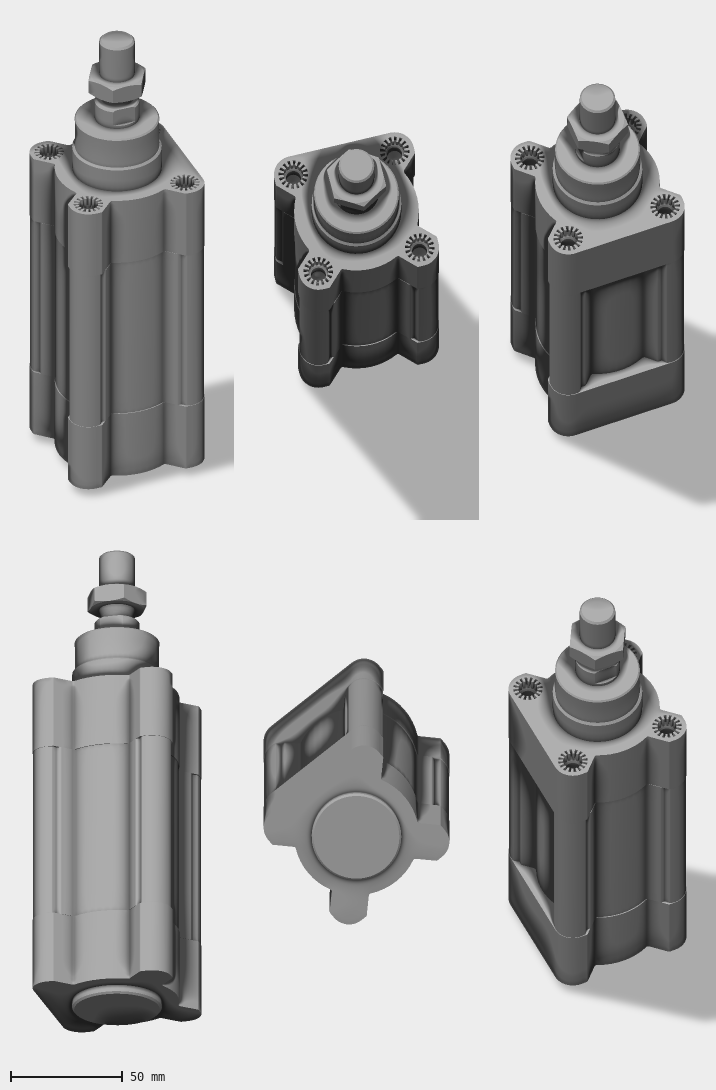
import cadquery as cq
import math


total_height = 217.8
cap_bottom = 4.0
cap_height = 32.9
barrel_length = 80.2
collar_height = 12.0
gland_height = 14.8
barrel_bottom = cap_bottom + cap_height
barrel_top = barrel_bottom + barrel_length
cap_top = barrel_top + cap_height
collar_top = cap_top + collar_height
gland_top = collar_top + gland_height

half_width = 64.0 / 2
cap_lug_radius = 8.7
lug_offset = half_width - cap_lug_radius
cap_flank_offset = 11.8
cap_body_radius = 27.9
cap_root_fillet = 1.0
barrel_lug_radius = 8.5
barrel_flank_offset = 12.0
barrel_body_radius = 27.5
barrel_root_fillet = 1.5
flank_corner_fillet = 0.9
groove_floor = 29.5
groove_foot = 19.4
groove_lip = 21.0
groove_lip_fillet = 0.7

collar_radius = 40.0 / 2
collar_chamfer = 0.9
gland_end_radius = 19.0
gland_waist_radius = 18.7
gland_chamfer = 0.7

spline_outer_radius = 13.3 / 2
spline_inner_radius = 8.7 / 2
spline_teeth = 16
spline_depth = 4.8
countersink_radius = 8.0 / 2
pilot_radius = 6.8 / 2
pilot_depth = 10.9
pilot_tip_angle = 118.0

rod_radius = 20.0 / 2
rod_bottom = cap_top
rod_shoulder = 186.0
shoulder_chamfer = 0.7
flats_across = 17.0
flats_bottom = 178.2
neck_radius = 14.0 / 2
neck_top = 188.5
neck_root_fillet = 0.7
neck_top_fillet = 2.2
thread_radius = 16.0 / 2
thread_bottom = 191.5
thread_chamfer = 0.9

nut_across_flats = 24.0
nut_bottom = 191.9
nut_height = 8.0
nut_chamfer_angle = 25.0


def plane_at(height):
    return cq.Workplane("XY").workplane(offset=height)


def disc(bottom, height, radius):
    return plane_at(bottom).circle(radius).extrude(height)


def turned(profile):
    """Solid of revolution about Z of an (r, z) profile that starts and ends on the axis."""
    return profile.close().revolve(360, (0, 0, 0), (0, 1, 0))


def mirrored(point):
    """The point reflected in the diagonal of its quadrant."""
    return (point[1], point[0])


def fillet_uprights(shape, points, height, radius):
    """Rounds the vertical edges that pass closest to the given (x, y) points."""
    for x, y in points:
        shape = shape.edges(cq.selectors.NearestToPointSelector((x, y, height))).fillet(radius)
    return shape


def cap_lug():
    root = (cap_flank_offset, 0)
    corner = (half_width, half_width - cap_flank_offset)
    middle = cap_height / 2
    lug = (
        plane_at(0)
        .polyline([(0, 0), root, corner, (half_width, half_width), mirrored(corner), mirrored(root)])
        .close()
        .extrude(cap_height)
    )
    lug = fillet_uprights(lug, [(half_width, half_width)], middle, cap_lug_radius)
    return fillet_uprights(lug, [corner, mirrored(corner)], middle, flank_corner_fillet)


def barrel_lug():
    """Round lug with a groove on each side, between the round and the 45 degree flank."""
    lip_drop = math.sqrt(barrel_lug_radius**2 - (lug_offset - groove_lip) ** 2)
    lip = (groove_lip, lug_offset + lip_drop)
    foot = (groove_foot, groove_floor)
    shoulder = (groove_floor - barrel_flank_offset, groove_floor)
    root = (0, barrel_flank_offset)
    tip = lug_offset + barrel_lug_radius / math.sqrt(2)
    middle = barrel_length / 2
    lug = (
        plane_at(0)
        .polyline([(0, 0), root, shoulder, foot, lip])
        .threePointArc((tip, tip), mirrored(lip))
        .lineTo(*mirrored(foot))
        .lineTo(*mirrored(shoulder))
        .lineTo(*mirrored(root))
        .close()
        .extrude(barrel_length)
    )
    lug = fillet_uprights(lug, [shoulder, mirrored(shoulder)], middle, flank_corner_fillet)
    return fillet_uprights(lug, [lip, mirrored(lip)], middle, groove_lip_fillet)


def lugged_body(lug, height, body_radius, flank_offset, root_fillet):
    """Round body with four lugs, filleted where the lug flanks run into it."""
    body = disc(0, height, body_radius)
    for quarter in range(4):
        body = body.union(lug.rotate((0, 0, 0), (0, 0, 1), 90 * quarter))
    near = math.sqrt(body_radius**2 / 2 - flank_offset**2 / 4) - flank_offset / 2
    far = near + flank_offset
    roots = [
        (x_sign * x, y_sign * y)
        for x, y in [(far, near), (near, far)]
        for x_sign in (-1, 1)
        for y_sign in (-1, 1)
    ]
    return fillet_uprights(body, roots, height / 2, root_fillet)


def end_cap():
    cap = lugged_body(cap_lug(), cap_height, cap_body_radius, cap_flank_offset, cap_root_fillet)
    back = plane_at(0).center(0, half_width / 2).rect(2 * lug_offset, half_width).extrude(cap_height)
    return cap.union(back)


def barrel():
    return lugged_body(
        barrel_lug(), barrel_length, barrel_body_radius, barrel_flank_offset, barrel_root_fillet
    )


def gland():
    """Wiper housing with a slightly waisted side and a chamfered top."""
    side_top = gland_top - gland_chamfer
    return turned(
        cq.Workplane("XZ")
        .moveTo(0, collar_top)
        .lineTo(gland_end_radius, collar_top)
        .threePointArc((gland_waist_radius, (collar_top + side_top) / 2), (gland_end_radius, side_top))
        .lineTo(gland_end_radius - gland_chamfer, gland_top)
        .lineTo(0, gland_top)
    )


def spline_socket():
    """Cutter for one screw socket: splined recess, countersink and pilot hole with drill tip."""
    pitch = 2 * math.pi / spline_teeth
    outline = []
    for tooth in range(spline_teeth):
        start = tooth * pitch
        end = start + pitch / 2
        for radius, angle in [
            (spline_inner_radius, start),
            (spline_outer_radius, start),
            (spline_outer_radius, end),
            (spline_inner_radius, end),
        ]:
            outline.append((radius * math.cos(angle), radius * math.sin(angle)))
    floor = cap_top - spline_depth
    recess = plane_at(floor).polyline(outline).close().extrude(spline_depth)

    countersink_depth = countersink_radius - pilot_radius
    pilot_bottom = cap_top - pilot_depth
    tip_length = pilot_radius / math.tan(math.radians(pilot_tip_angle / 2))
    pilot = turned(
        cq.Workplane("XZ")
        .moveTo(0, floor)
        .lineTo(countersink_radius, floor)
        .lineTo(pilot_radius, floor - countersink_depth)
        .lineTo(pilot_radius, pilot_bottom)
        .lineTo(0, pilot_bottom - tip_length)
    )
    return recess.union(pilot)


def make_housing():
    cap = end_cap()
    lower_collar = disc(0, cap_bottom, collar_radius).faces("<Z").chamfer(collar_chamfer)
    upper_collar = disc(cap_top, collar_height, collar_radius).faces(">Z").chamfer(collar_chamfer)
    housing = (
        lower_collar
        .union(cap.translate((0, 0, cap_bottom)))
        .union(barrel().translate((0, 0, barrel_bottom)))
        .union(cap.translate((0, 0, barrel_top)))
        .union(upper_collar)
        .union(gland())
    )
    housing = housing.cut(disc(rod_bottom, gland_top - rod_bottom, rod_radius))
    socket = spline_socket()
    for x in (-lug_offset, lug_offset):
        for y in (-lug_offset, lug_offset):
            housing = housing.cut(socket.translate((x, y, 0)))
    return housing


def fillet_ring(shape, radius, height, fillet_radius):
    """Rounds the circular edge of the given radius at the given height."""
    margin = 0.02
    reach = radius + margin
    ring = cq.selectors.BoxSelector(
        (-reach, -reach, height - margin), (reach, reach, height + margin), boundingbox=True
    )
    return shape.edges(ring).fillet(fillet_radius)


def make_rod():
    rod = turned(
        cq.Workplane("XZ")
        .moveTo(0, rod_bottom)
        .lineTo(rod_radius, rod_bottom)
        .lineTo(rod_radius, rod_shoulder - shoulder_chamfer)
        .lineTo(rod_radius - shoulder_chamfer, rod_shoulder)
        .lineTo(neck_radius, rod_shoulder)
        .lineTo(neck_radius, neck_top)
        .lineTo(thread_radius, thread_bottom)
        .lineTo(thread_radius, total_height - thread_chamfer)
        .lineTo(thread_radius - thread_chamfer, total_height)
        .lineTo(0, total_height)
    )
    rod = fillet_ring(rod, neck_radius, neck_top, neck_top_fillet)
    rod = fillet_ring(rod, neck_radius, rod_shoulder, neck_root_fillet)
    flats_height = rod_shoulder - flats_bottom
    for side in (-1, 1):
        waste_centre = side * (flats_across / 2 + rod_radius / 2)
        waste = plane_at(flats_bottom).center(waste_centre, 0).rect(rod_radius, 2 * rod_radius)
        rod = rod.cut(waste.extrude(flats_height))
    return rod


def make_nut():
    """Hexagon with corners on +-Y, its corners turned down to cones at both ends."""
    corner_radius = nut_across_flats / math.sqrt(3)
    face_radius = nut_across_flats / 2
    nut_top = nut_bottom + nut_height
    cone_height = (corner_radius - face_radius) * math.tan(math.radians(nut_chamfer_angle))
    hexagon = plane_at(nut_bottom).polygon(6, 2 * corner_radius).extrude(nut_height)
    half_sector = 30.0
    hexagon = hexagon.rotate((0, 0, 0), (0, 0, 1), half_sector)
    envelope = turned(
        cq.Workplane("XZ")
        .moveTo(0, nut_bottom)
        .lineTo(face_radius, nut_bottom)
        .lineTo(corner_radius, nut_bottom + cone_height)
        .lineTo(corner_radius, nut_top - cone_height)
        .lineTo(face_radius, nut_top)
        .lineTo(0, nut_top)
    )
    return hexagon.intersect(envelope).cut(disc(nut_bottom, nut_height, thread_radius))


housing = make_housing().solids()
rod = make_rod().solids()
nut = make_nut().solids()

result = cq.Compound.makeCompound([housing.val(), rod.val(), nut.val()])